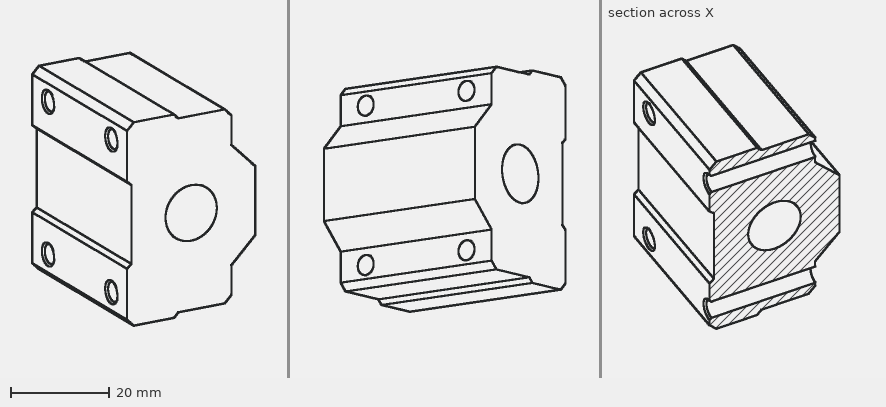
import cadquery as cq

length = 39.0
depth = 30.0
height = 44.0
mount_y = -depth / 2
back_y = depth / 2

corner_chamfer = 1.6
step = 1.0
flange_depth = 11.0
shoulder_depth = 24.45
ridge_base_half = 13.0
ridge_top_half = 7.5
channel_mouth_half = 9.4
channel_floor_half = 8.55

bore_diameter = 12.0
screw_diameter = 4.15
screw_mouth_diameter = 5.0
screw_spacing_x = 26.0
screw_spacing_z = 33.0


def body():
    """Extrude the symmetric profile, described by its upper half."""
    half_height = height / 2
    flange_end_y = mount_y + flange_depth
    shoulder_y = mount_y + shoulder_depth
    shoulder_half = half_height - step
    upper_half = [
        (mount_y + step, channel_floor_half),
        (mount_y, channel_mouth_half),
        (mount_y, half_height - corner_chamfer),
        (mount_y + corner_chamfer, half_height),
        (flange_end_y, half_height),
        (flange_end_y + step, shoulder_half),
        (shoulder_y - corner_chamfer, shoulder_half),
        (shoulder_y, shoulder_half - corner_chamfer),
        (shoulder_y, ridge_base_half),
        (back_y, ridge_top_half),
    ]
    lower_half = [(y, -z) for y, z in reversed(upper_half)]
    profile = cq.Workplane("YZ").polyline(upper_half + lower_half).close()
    return profile.extrude(length / 2, both=True)


def bore():
    """Shaft bore along X through the whole block."""
    return cq.Workplane("YZ").circle(bore_diameter / 2).extrude(length / 2, both=True)


def screw_holes():
    """Four through holes along Y, countersunk at the mounting face."""
    radius = screw_diameter / 2
    mouth_radius = screw_mouth_diameter / 2
    mouth_end_y = mount_y + mouth_radius - radius
    section = [
        (0, mount_y),
        (mouth_radius, mount_y),
        (radius, mouth_end_y),
        (radius, back_y),
        (0, back_y),
    ]
    hole = cq.Workplane("XY").polyline(section).close().revolve(360, (0, 0), (0, 1))
    holes = cq.Workplane("XY")
    for x in (-screw_spacing_x / 2, screw_spacing_x / 2):
        for z in (-screw_spacing_z / 2, screw_spacing_z / 2):
            holes = holes.add(hole.translate((x, 0, z)))
    return holes.combine()


result = body().cut(bore()).cut(screw_holes())